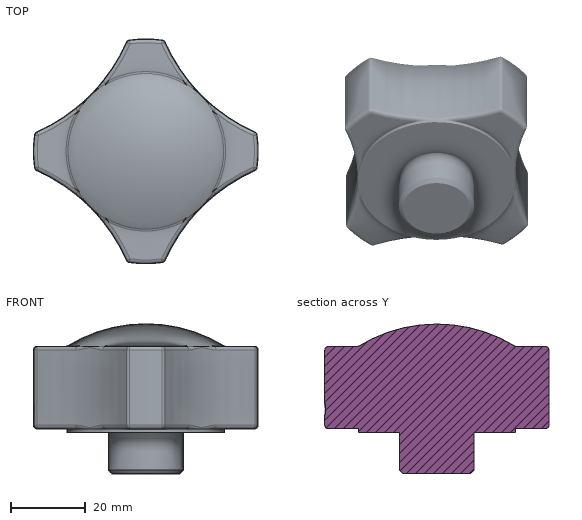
import cadquery as cq
import math

tip_radius = 30.0
tip_half_width = 4.9
waist_radius = 21.05
lobe_count = 4
body_height = 22.0
edge_fillet = 1.0

collar_radius = 21.0
collar_height = 1.0
stem_radius = 10.0
stem_length = 11.0
stem_chamfer = 1.0

dome_height = 6.0
blend_radius = 1.0
blend_margin = 0.1

recess_diameter = 3.0
recess_depth = 0.2
recess_height = 17.2

body_bottom = stem_length + collar_height
body_top = body_bottom + body_height
dome_radius = (collar_radius**2 + dome_height**2) / (2 * dome_height)
dome_centre = body_top + dome_height - dome_radius


def polar(radius, angle):
    return (radius * math.cos(angle), radius * math.sin(angle))


def lobed_outline():
    """Plan of the grip: convex lobe ends joined by concave arcs."""
    pitch = 2 * math.pi / lobe_count
    half_tip = math.asin(tip_half_width / tip_radius)
    outline = cq.Workplane("XY").moveTo(*polar(tip_radius, -half_tip))
    for index in range(lobe_count):
        angle = index * pitch
        outline = outline.threePointArc(polar(tip_radius, angle), polar(tip_radius, angle + half_tip))
        outline = outline.threePointArc(
            polar(waist_radius, angle + pitch / 2),
            polar(tip_radius, angle + pitch - half_tip),
        )
    return outline.close()


def stem():
    """Round stem with a chamfered lower end."""
    return cq.Workplane("XY").circle(stem_radius).extrude(stem_length).faces("<Z").chamfer(stem_chamfer)


def dome():
    """Spherical cap standing on the top plane of the body."""
    sphere = cq.Workplane("XY", origin=(0, 0, dome_centre)).sphere(dome_radius)
    above_top = cq.Workplane("XY", origin=(0, 0, body_top)).circle(tip_radius).extrude(dome_radius)
    return sphere.intersect(above_top)


def is_outside_collar(edge):
    """True for edges of the lobed outline, which lies wholly outside the collar radius."""
    middle = edge.positionAt(0.5)
    return math.hypot(middle.x, middle.y) > (collar_radius + waist_radius) / 2


def grip():
    """Lobed body with collar and dome, its outer edges rounded up to the collar and dome."""
    lobes = lobed_outline().extrude(body_height).translate((0, 0, body_bottom))
    height = collar_height + body_height
    core = cq.Workplane("XY", origin=(0, 0, stem_length)).circle(collar_radius).extrude(height)
    return lobes.union(core.union(dome())).edges().filter(is_outside_collar).fillet(edge_fillet)


def dome_blend():
    """Dome foot blended onto the flat lobe tops, kept just inside the edges of those flats."""
    plate = cq.Workplane("XY", origin=(0, 0, body_bottom)).circle(tip_radius).extrude(body_height)
    foot = cq.selectors.RadiusNthSelector(0)
    blended = plate.union(dome()).edges("%CIRCLE").edges(foot).fillet(blend_radius)
    inset = edge_fillet + blend_margin
    flats = lobed_outline().offset2D(-inset).extrude(dome_radius).translate((0, 0, body_top))
    return blended.intersect(flats)


def recess():
    """Cutter for the round recess, reaching inward from the lobe end."""
    return (
        cq.Workplane("YZ", origin=(-tip_radius, 0, 0))
        .center(0, recess_height)
        .circle(recess_diameter / 2)
        .extrude(recess_depth)
    )


result = grip().union(dome_blend()).union(stem()).cut(recess())